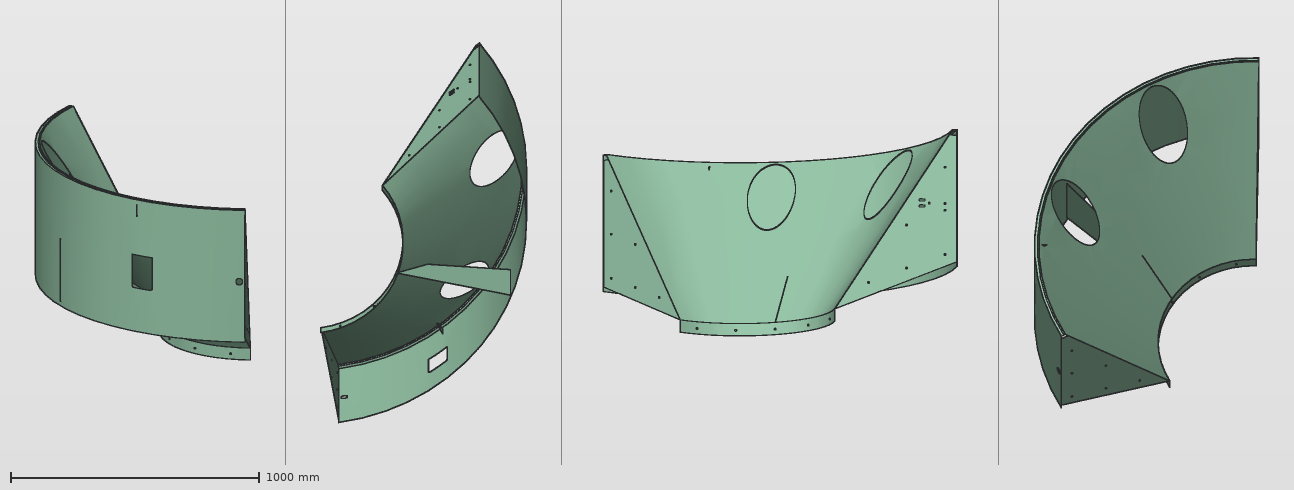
import cadquery as cq
import math

OVERALL_WIDTH = 1533.0
SECTOR_HALF_ANGLE = 60.0
SHEET = 2.5
CUT_REACH = 1533.0

SHELL_OUTER_R = OVERALL_WIDTH / 2 / math.sin(math.radians(SECTOR_HALF_ANGLE))
SHELL_INNER_R = SHELL_OUTER_R - SHEET
LIP_WIDTH = 12.0
LIP_INNER_R = SHELL_OUTER_R - LIP_WIDTH
TOP_Z = 797.0
SHELL_BOTTOM_Z = 238.0

WINDOW_WIDTH = 80.0
WINDOW_HEIGHT = 140.0
WINDOW_X = 463.0
WINDOW_Z = 492.0
WINDOW_CORNER_R = 9.0
PORT_D = 28.0
PORT_ANGLE = 58.5
PORT_Z = 494.0

FLANGE_OUTER_R = 388.0
FLANGE_INNER_R = FLANGE_OUTER_R - SHEET
FLANGE_HEIGHT = 50.0
FLANGE_HOLE_Z = 23.0
FLANGE_HOLE_ANGLES = (-48.0, -24.0, 0.0, 24.0, 48.0)
BOLT_D = 7.0

CONE_TOP_R = 868.0
CONE_SLOPE = (CONE_TOP_R - FLANGE_OUTER_R) / (TOP_Z - FLANGE_HEIGHT)
CHUTE_HOLE_D = 195.0
CHUTE_HOLE_R = 762.0
CHUTE_HOLE_ANGLES = (-30.0, 12.0)

PLATE_TOP_Z = 774.0
PLATE_OUTER_BOTTOM_Z = 256.0
PLATE_HOLES = ((525.0, 163.0), (679.0, 225.0), (679.0, 402.0), (835.0, 285.0), (835.0, 466.0), (835.0, 642.0))

MOUNT_Z = 494.0
MOUNT_HOLE_RADII = (771.0, 835.0)
MOUNT_SLOT_R = 742.0
MOUNT_SLOT_LENGTH = 25.0
MOUNT_SLOT_HEIGHT = 9.0
MOUNT_SLOT_SPACING = 25.0

RIB_CONE_TOP_Z = 260.0
RIB_SHELL_TOP_Z = 521.0

GUSSET_ANGLE = 30.0
GUSSET_LEG = 49.0


def at_angle(body, angle):
    """Turn a body lying along +X so that it points at the given sector angle."""
    return body.rotate((0, 0, 0), (0, 0, 1), angle - 90)


def revolved_sector(profile):
    """Sweep an (r, z) outline about Z through the whole sector."""
    swept = cq.Workplane("XZ").polyline(profile).close().revolve(2 * SECTOR_HALF_ANGLE, (0, 0), (0, 1))
    return at_angle(swept, -SECTOR_HALF_ANGLE)


def radial_plate(outline, offset):
    """Plate in the XZ plane with an (r, z) outline, reaching from y = offset by SHEET toward -Y.

    Its outer edge is trimmed to the curve of the shell's inside face.
    """
    blank = cq.Workplane("XZ", origin=(0, offset, 0)).polyline(outline).close().extrude(SHEET)
    return blank.intersect(cq.Workplane("XY").circle(SHELL_INNER_R).extrude(TOP_Z))


def plate_drill(points):
    """Bolt-sized cutters across a radial plate at the (r, z) points."""
    return cq.Workplane("XZ").pushPoints(points).circle(BOLT_D / 2).extrude(CUT_REACH / 2, both=True)


def radial_drill(diameter, angle, z):
    """Horizontal cutter running outward from the Z axis."""
    return at_angle(cq.Workplane("YZ").center(0, z).circle(diameter / 2).extrude(CUT_REACH), angle)


def cone_underside_r(z):
    return FLANGE_OUTER_R + CONE_SLOPE * (z - FLANGE_HEIGHT)


def make_shell():
    shell = revolved_sector([
        (SHELL_INNER_R, SHELL_BOTTOM_Z),
        (SHELL_OUTER_R, SHELL_BOTTOM_Z),
        (SHELL_OUTER_R, TOP_Z),
        (LIP_INNER_R, TOP_Z),
        (LIP_INNER_R, TOP_Z - SHEET),
        (SHELL_INNER_R, TOP_Z - SHEET),
    ])
    window = (
        cq.Workplane("XZ")
        .center(WINDOW_X, WINDOW_Z)
        .rect(WINDOW_WIDTH, WINDOW_HEIGHT)
        .extrude(CUT_REACH)
        .faces("<Z")
        .edges("|Y")
        .fillet(WINDOW_CORNER_R)
    )
    return shell.cut(window).cut(radial_drill(PORT_D, PORT_ANGLE, PORT_Z))


def make_flange():
    flange = revolved_sector([
        (FLANGE_INNER_R, 0),
        (FLANGE_OUTER_R, 0),
        (FLANGE_OUTER_R, FLANGE_HEIGHT),
        (FLANGE_INNER_R, FLANGE_HEIGHT),
    ])
    for angle in FLANGE_HOLE_ANGLES:
        flange = flange.cut(radial_drill(BOLT_D, angle, FLANGE_HOLE_Z))
    return flange


def make_cone(gusset):
    """Cone with its vertical chute holes and a slit where the gusset tip passes through."""
    cone = revolved_sector([
        (FLANGE_INNER_R, FLANGE_HEIGHT),
        (FLANGE_OUTER_R, FLANGE_HEIGHT),
        (CONE_TOP_R, TOP_Z),
        (CONE_TOP_R - SHEET, TOP_Z),
    ])
    for angle in CHUTE_HOLE_ANGLES:
        hole = cq.Workplane("XY").center(CHUTE_HOLE_R, 0).circle(CHUTE_HOLE_D / 2).extrude(CUT_REACH)
        cone = cone.cut(at_angle(hole, angle))
    return cone.cut(gusset)


def make_end_plate(offset):
    outline = [
        (FLANGE_OUTER_R, FLANGE_HEIGHT),
        (SHELL_INNER_R, PLATE_OUTER_BOTTOM_Z),
        (SHELL_INNER_R, PLATE_TOP_Z),
        (cone_underside_r(PLATE_TOP_Z), PLATE_TOP_Z),
    ]
    return radial_plate(outline, offset).cut(plate_drill(PLATE_HOLES))


def mount_cutters():
    slot_points = [(MOUNT_SLOT_R, MOUNT_Z + side * MOUNT_SLOT_SPACING / 2) for side in (-1, 1)]
    slots = (
        cq.Workplane("XZ")
        .pushPoints(slot_points)
        .slot2D(MOUNT_SLOT_LENGTH, MOUNT_SLOT_HEIGHT)
        .extrude(CUT_REACH / 2, both=True)
    )
    return slots.add(plate_drill([(r, MOUNT_Z) for r in MOUNT_HOLE_RADII])).combine()


def make_rib():
    outline = [
        (FLANGE_OUTER_R, FLANGE_HEIGHT),
        (SHELL_INNER_R, PLATE_OUTER_BOTTOM_Z),
        (SHELL_INNER_R, RIB_SHELL_TOP_Z),
        (cone_underside_r(RIB_CONE_TOP_Z), RIB_CONE_TOP_Z),
    ]
    return at_angle(radial_plate(outline, SHEET / 2), 0)


def make_gusset():
    outline = [
        (SHELL_INNER_R - GUSSET_LEG, PLATE_TOP_Z),
        (SHELL_INNER_R, PLATE_TOP_Z),
        (SHELL_INNER_R, PLATE_TOP_Z - GUSSET_LEG),
    ]
    return at_angle(radial_plate(outline, SHEET / 2), GUSSET_ANGLE)


gusset = make_gusset()
shell = make_shell()
flange = make_flange()
cone = make_cone(gusset)
rib = make_rib()
left_plate = at_angle(make_end_plate(SHEET).cut(mount_cutters()), -SECTOR_HALF_ANGLE)
right_plate = at_angle(make_end_plate(0), SECTOR_HALF_ANGLE)

bodies = (shell, flange, cone, left_plate, right_plate, rib, gusset)
result = cq.Compound.makeCompound([body.solids().val() for body in bodies])